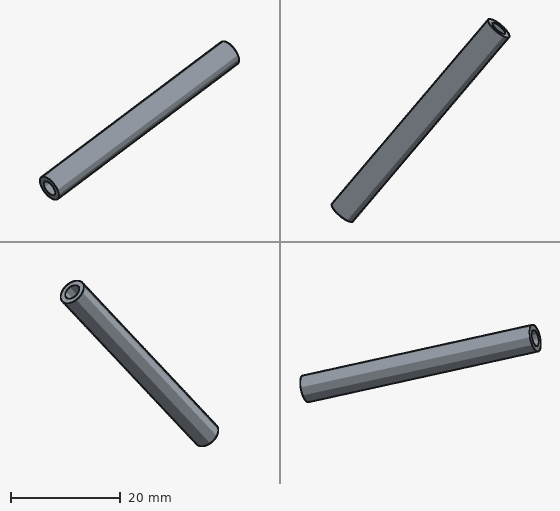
import cadquery as cq

length = 46.0
outer_diameter = 5.0
bore_diameter = 3.0

result = (
    cq.Workplane("XZ", origin=(0, length / 2, 0))
    .circle(outer_diameter / 2)
    .circle(bore_diameter / 2)
    .extrude(length)
)